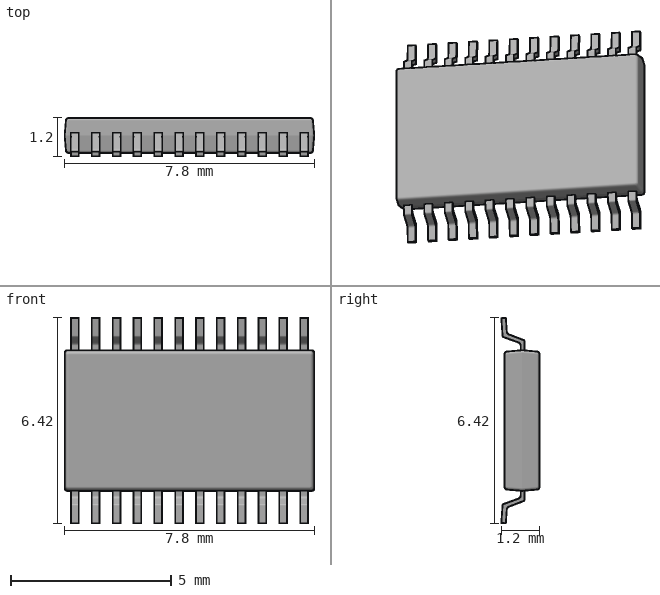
import cadquery as cq
import math

body_length = 7.8
body_height = 4.4
body_depth = 1.1
draft_angle = 5.0
body_fillet = 0.09

leads_per_row = 12
lead_row_length = 7.15
lead_pitch = lead_row_length / (leads_per_row - 1)
row_span = 6.42

lead_width = 0.25
lead_back_y = 0.08
lead_thickness = 0.125
shoulder_back_rise = 0.305
shoulder_front_rise = 0.21
ankle_back_rise = 0.515
ankle_front_rise = 0.41
foot_thickness = 0.15
foot_lean_angle = 4.0
standoff = 0.1
outer_bend_radius = 0.06
inner_bend_radius = 0.1
lead_embedding = 0.155


def make_body_half(side):
    """Half of the body, drafted from the parting plane toward +Y (side = 1) or -Y (side = -1)."""
    parting_plane = cq.Plane(origin=(0, 0, 0), xDir=(1, 0, 0), normal=(0, side, 0))
    half = cq.Workplane(parting_plane).rect(body_length, body_height)
    half = half.extrude(body_depth / 2, taper=draft_angle)
    half = half.edges("not(|X or |Z)").fillet(body_fillet)
    outer_face = ">Y" if side > 0 else "<Y"
    return half.faces(outer_face).edges().fillet(body_fillet)


def make_lead():
    """Lead of the top row, centered on X = 0."""
    side_z = body_height / 2
    root_z = side_z - lead_embedding
    toe_z = row_span / 2
    lead_front_y = lead_back_y - lead_thickness
    foot_front_y = -body_depth / 2 - standoff
    lean = math.radians(foot_lean_angle)

    toe_back = (foot_front_y + foot_thickness * math.cos(lean), toe_z)
    toe_front = (foot_front_y, toe_z - foot_thickness * math.sin(lean))

    def ankle(toe, rise):
        """Corner on the foot line that ends at toe."""
        z = side_z + rise
        return (toe[0] + (toe[1] - z) * math.tan(lean), z)

    shoulder_back = (lead_back_y, side_z + shoulder_back_rise)
    shoulder_front = (lead_front_y, side_z + shoulder_front_rise)
    ankle_back = ankle(toe_back, ankle_back_rise)
    ankle_front = ankle(toe_front, ankle_front_rise)
    outline = [
        (lead_back_y, root_z),
        shoulder_back,
        ankle_back,
        toe_back,
        toe_front,
        ankle_front,
        shoulder_front,
        (lead_front_y, root_z),
    ]
    lead = cq.Workplane("YZ").polyline(outline).close().extrude(lead_width / 2, both=True)

    bends = (
        (shoulder_back, outer_bend_radius),
        (ankle_front, outer_bend_radius),
        (shoulder_front, inner_bend_radius),
        (ankle_back, inner_bend_radius),
    )
    for corner, radius in bends:
        lead = lead.edges("|X").edges(cq.NearestToPointSelector((0, *corner))).fillet(radius)
    return lead


top_lead = make_lead()
bottom_lead = top_lead.mirror("XY")

result = make_body_half(1).union(make_body_half(-1))
for index in range(leads_per_row):
    lead_x = index * lead_pitch - lead_row_length / 2
    for lead in (top_lead, bottom_lead):
        result = result.union(lead.translate((lead_x, 0, 0)))